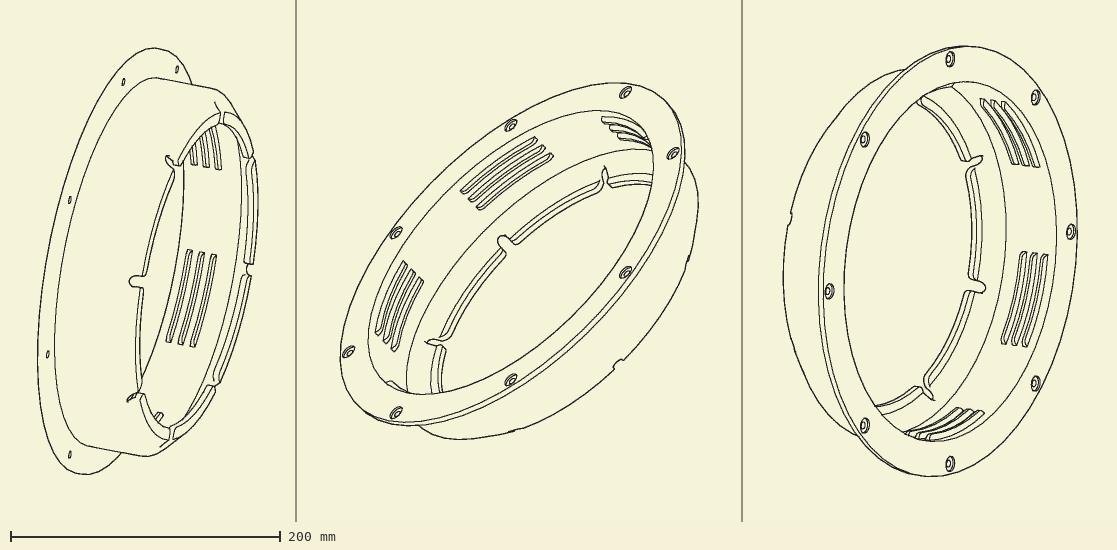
import cadquery as cq
import math

depth = 63.5
flange_radius = 160.5
flange_thickness = 5.0
rim_fillet = 1.3
barrel_radius = 277.8 / 2
bore_radius = 268.2 / 2
nose_radius = 123.5
shoulder_fillet = 1.5
lip_bore_radius = 114.5
lip_face_radius = 121.3
wall = barrel_radius - bore_radius
shoulder_x = depth - (barrel_radius - nose_radius)
inner_cone_sum = shoulder_x + barrel_radius - wall * math.sqrt(2)
lip_face_x = inner_cone_sum - lip_face_radius

screw_count = 8
screw_circle_radius = 152.5
screw_diameter = 5.0
counterbore_diameter = 11.2
counterbore_depth = 1.5

notch_count = 8
notch_start_angle = 25.0
notch_width = 8.7
notch_end_radius = 129.5
notch_corner_radius = 4.8
notch_edge_fillet = 0.5

rib_group_count = 6
rib_start_angle = 8.2
ribs_per_group = 3
rib_pitch = 9.5
first_rib_x = 9.3
rib_height = 4.5
rib_root_thickness = 4.0
rib_tip_thickness = 2.2
rib_root_span = 30.6
rib_tip_span = 28.6
rib_corner_radius = 4.0


def turned(shape, angle):
    """Turn a shape about the ring axis, from +Z toward +Y."""
    return shape.rotate((0, 0, 0), (1, 0, 0), -angle)


def ring_body():
    """Flange, barrel, 45 degree cone and inner lip as one revolved wall."""
    shoulder_setback = shoulder_fillet * math.tan(math.radians(22.5))
    setback_on_cone = shoulder_setback / math.sqrt(2)
    profile = (
        cq.Workplane("XZ")
        .moveTo(0, bore_radius)
        .lineTo(0, flange_radius)
        .lineTo(flange_thickness - rim_fillet, flange_radius)
        .tangentArcPoint((flange_thickness, flange_radius - rim_fillet), relative=False)
        .lineTo(flange_thickness, barrel_radius)
        .lineTo(shoulder_x - shoulder_setback, barrel_radius)
        .tangentArcPoint((shoulder_x + setback_on_cone, barrel_radius - setback_on_cone), relative=False)
        .lineTo(depth, nose_radius)
        .lineTo(depth, lip_bore_radius)
        .lineTo(lip_face_x, lip_bore_radius)
        .lineTo(lip_face_x, lip_face_radius)
        .lineTo(inner_cone_sum - bore_radius, bore_radius)
        .close()
    )
    return profile.revolve(360, (0, 0, 0), (1, 0, 0))


def screw_hole():
    """Counterbored through hole, open on the flange face."""
    plane = cq.Workplane("YZ").center(0, screw_circle_radius)
    through = plane.circle(screw_diameter / 2).extrude(flange_thickness)
    counterbore = plane.circle(counterbore_diameter / 2).extrude(counterbore_depth)
    return through.union(counterbore)


def notch():
    """Round-ended slot along the axis, opening the cone and the lip toward the centre."""
    half = notch_width / 2
    open_end = lip_bore_radius - notch_width
    return (
        cq.Workplane("YZ")
        .moveTo(-half, open_end)
        .lineTo(-half, notch_end_radius - half)
        .threePointArc((0, notch_end_radius), (half, notch_end_radius - half))
        .lineTo(half, open_end)
        .close()
        .extrude(depth)
    )


def rib():
    """Arc rib on the barrel bore, tapering to its tip, with sloped and rounded ends."""
    root = bore_radius + wall / 2
    tip = bore_radius - rib_height
    half_draft = (rib_root_thickness - rib_tip_thickness) / 2
    half_root = rib_root_thickness / 2
    section = [
        (-half_root, root),
        (-half_root, bore_radius),
        (-half_root + half_draft, tip),
        (half_root - half_draft, tip),
        (half_root, bore_radius),
        (half_root, root),
    ]
    ring = cq.Workplane("XZ").polyline(section).close().revolve(360, (0, 0, 0), (1, 0, 0))

    def at(radius, span):
        angle = math.radians(span / 2)
        return (radius * math.sin(angle), radius * math.cos(angle))

    tip_end_height = at(tip, rib_tip_span)[1]
    outline = (
        cq.Workplane("YZ", origin=(-half_root, 0, 0))
        .moveTo(*at(root, -rib_root_span))
        .threePointArc((0, root), at(root, rib_root_span))
        .lineTo(*at(bore_radius, rib_root_span))
        .lineTo(*at(tip, rib_tip_span))
        .threePointArc((0, tip), at(tip, -rib_tip_span))
        .lineTo(*at(bore_radius, -rib_root_span))
        .close()
        .extrude(rib_root_thickness)
    )
    at_tip = cq.selectors.BoxSelector(
        (-3.2, -tip, tip_end_height - rib_height / 4), (3.2, tip, tip_end_height + rib_height / 4)
    )
    return ring.intersect(outline.edges("|X").edges(at_tip).fillet(rib_corner_radius))


result = ring_body()

for i in range(notch_count):
    result = result.cut(turned(notch(), notch_start_angle + i * 360 / notch_count))

result = result.faces("%CONE").edges("(not %CIRCLE) and (not %LINE)").fillet(notch_edge_fillet)
corner_reach = lip_bore_radius + wall / 2
lip_zone = cq.selectors.BoxSelector(
    (lip_face_x, -corner_reach, -corner_reach), (depth, corner_reach, corner_reach)
)
result = result.edges("|X").edges(lip_zone).fillet(notch_corner_radius)

for i in range(screw_count):
    result = result.cut(turned(screw_hole(), i * 360 / screw_count))

for i in range(rib_group_count):
    for k in range(ribs_per_group):
        placed = rib().translate((first_rib_x + k * rib_pitch, 0, 0))
        result = result.union(turned(placed, rib_start_angle + i * 360 / rib_group_count))